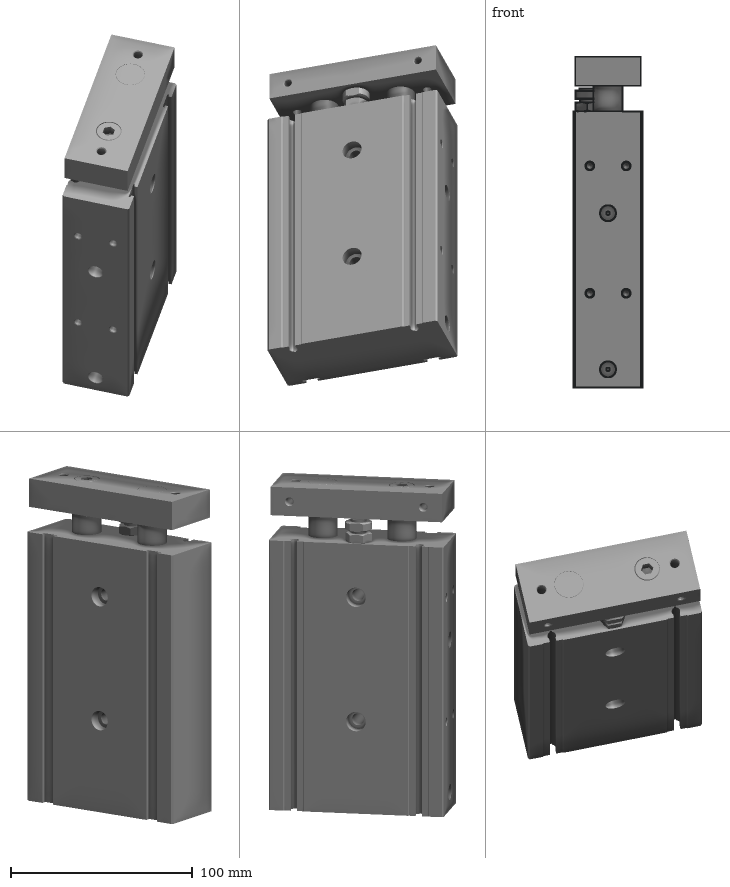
import cadquery as cq
import math


overall_z = 182.0

housing_x = 38.0
housing_y = 98.0
housing_z = 152.0
edge_chamfer = 1.0

groove_y = 35.0
recess_width = 11.6
recess_depth = 0.4
recess_ramp = 0.5
keyhole_neck = 3.6
keyhole_diameter = 4.7
keyhole_centre_depth = 3.8
relief_width = 1.3
relief_depth = 0.5
tee_slot_width = 7.0
tee_lip = 1.8
tee_width = 9.8
tee_depth = 2.7

hole_from_top = 30.0
hole_row_pitch = 70.0
mount_rows = [housing_z - hole_from_top, housing_z - hole_from_top - hole_row_pitch]
through_diameter = 6.7
counterbore_diameter = 11.0
counterbore_depth = 6.2
side_hole_x = 10.0
tap_diameter = 4.2
tap_mouth_diameter = 5.0
tap_depth = 8.2
drill_tip_angle = 118
port_diameter = 8.5
port_mouth_diameter = 9.0
port_depth = 8.2
passage_diameter = 2.0
passage_depth = 7.3
lower_port_z = 10.0
upper_port_from_top = 56.0
port_heights = [lower_port_z, housing_z - upper_port_from_top]

adjuster_x = -11.5
nut_flats = 13.0
nut_corners = nut_flats / math.cos(math.radians(30))
nut_height = 5.0
nut_bevel_height = 0.5
adjuster_gap = 1.6
thread_diameter = 8.0
head_height = 5.0
bumper_diameter = 9.0
bumper_height = 1.3

plate_x = 36.0
plate_y = 96.1
plate_z = 16.0
stroke_gap = overall_z - housing_z - plate_z
plate_bottom = housing_z + stroke_gap
plate_top = plate_bottom + plate_z
rod_diameter = 16.0
rod_y = 22.0
rod_bevel = 0.2
plate_hole_y = 37.5
plate_hole_diameter = 5.0
plate_hole_mouth = 5.8

screw_head_diameter = 14.0
screw_bevel = 0.5
socket_flats = 6.0
socket_depth = 5.5


def tip_length(diameter):
    """Length of the conical end that a drill leaves."""
    return diameter / 2 / math.tan(math.radians(drill_tip_angle / 2))


def countersunk_hole(mouth, direction, diameter, mouth_diameter, depth, tip=0):
    """Round hole with a 45 degree countersunk mouth and, if tip is given, a conical end."""
    radius = diameter / 2
    mouth_radius = mouth_diameter / 2
    profile = [
        (0, 0),
        (mouth_radius, 0),
        (radius, mouth_radius - radius),
        (radius, depth),
        (0, depth + tip),
    ]
    normal = cq.Vector(0, 0, 1) if direction[2] == 0 else cq.Vector(0, 1, 0)
    plane = cq.Plane(origin=mouth, xDir=cq.Vector(*direction).cross(normal), normal=normal)
    return cq.Workplane(plane).polyline(profile).close().revolve(360, (0, 0), (0, 1))


def tapped_hole(mouth, direction):
    """Blind hole shared by the housing side and the plate side."""
    return countersunk_hole(
        mouth, direction, tap_diameter, tap_mouth_diameter, tap_depth, tip_length(tap_diameter)
    )


def cylinder_along(origin, direction, diameter, length):
    return cq.Workplane(obj=cq.Solid.makeCylinder(diameter / 2, length, origin, direction))


def face_channel(face_x, inward, y, start, end, width):
    """Full-height channel between two depths below a long face; inward is +1 or -1 along X."""
    middle = face_x + inward * (start + end) / 2
    return cq.Workplane("XY").center(middle, y).rect(end - start, width).extrude(housing_z)


def keyhole_groove(y):
    """Shallow band with a round-bottomed keyhole groove in its middle, in the -X face."""
    face = -housing_x / 2
    floor_depth = keyhole_centre_depth + keyhole_diameter / 2
    half = recess_width / 2
    band = (
        cq.Workplane("XY")
        .polyline([
            (face, y - half),
            (face + recess_depth, y - half + recess_ramp),
            (face + recess_depth, y + half - recess_ramp),
            (face, y + half),
        ])
        .close()
        .extrude(housing_z)
    )
    neck = face_channel(face, 1, y, 0, keyhole_centre_depth, keyhole_neck)
    relief = face_channel(face, 1, y, keyhole_centre_depth, floor_depth + relief_depth, relief_width)
    bulb = (
        cq.Workplane("XY")
        .center(face + keyhole_centre_depth, y)
        .circle(keyhole_diameter / 2)
        .extrude(housing_z)
    )
    return band.union(neck).union(bulb).union(relief)


def tee_groove(y):
    """T-shaped groove in the +X face."""
    face = housing_x / 2
    mouth = face_channel(face, -1, y, 0, tee_depth, tee_slot_width)
    undercut = face_channel(face, -1, y, tee_lip, tee_depth, tee_width)
    return mouth.union(undercut)


def mounting_hole(z):
    """Hole through the housing along X, counterbored at both ends."""
    left = (-housing_x / 2, 0, z)
    right = (housing_x / 2, 0, z)
    hole = cylinder_along(left, (1, 0, 0), through_diameter, housing_x)
    hole = hole.union(cylinder_along(left, (1, 0, 0), counterbore_diameter, counterbore_depth))
    return hole.union(cylinder_along(right, (-1, 0, 0), counterbore_diameter, counterbore_depth))


def air_port(z):
    """Port in the -Y face with a narrow passage in its floor."""
    mouth = (0, -housing_y / 2, z)
    port = countersunk_hole(mouth, (0, 1, 0), port_diameter, port_mouth_diameter, port_depth)
    return port.union(cylinder_along(mouth, (0, 1, 0), passage_diameter, port_depth + passage_depth))


def bevelled_disc(bottom, height):
    """Round blank whose two rims are bevelled in to the width of the wrench flats."""
    corner = nut_corners / 2
    rim = nut_flats / 2
    profile = [
        (0, 0),
        (rim, 0),
        (corner, nut_bevel_height),
        (corner, height - nut_bevel_height),
        (rim, height),
        (0, height),
    ]
    return (
        cq.Workplane("XZ", origin=(adjuster_x, 0, bottom))
        .polyline(profile)
        .close()
        .revolve(360, (0, 0), (0, 1))
    )


def hexagon(x, y, z, flats, height):
    """Hexagonal prism with two of its flats facing -X and +X."""
    return (
        cq.Workplane("XY", origin=(x, y, z))
        .transformed(rotate=(0, 0, 30))
        .polygon(6, flats / math.cos(math.radians(30)))
        .extrude(height)
    )


def adjuster():
    """Hex lock nut, bare thread, round head with two flats, and bumper, stacked on the housing top."""
    head_bottom = housing_z + nut_height + adjuster_gap
    head_top = head_bottom + head_height
    up = (0, 0, 1)
    nut = hexagon(adjuster_x, 0, housing_z, nut_flats, nut_height)
    nut = nut.intersect(bevelled_disc(housing_z, nut_height))
    thread = cylinder_along((adjuster_x, 0, housing_z), up, thread_diameter, nut_height + adjuster_gap)
    head_block = (
        cq.Workplane("XY", origin=(adjuster_x, 0, head_bottom))
        .rect(nut_flats, nut_corners)
        .extrude(head_height)
    )
    head = head_block.intersect(bevelled_disc(head_bottom, head_height))
    bumper = cylinder_along((adjuster_x, 0, head_top), up, bumper_diameter, bumper_height)
    return nut.union(thread).union(head).union(bumper)


def make_housing():
    body = (
        cq.Workplane("XY")
        .rect(housing_x, housing_y)
        .extrude(housing_z)
        .edges("|Z")
        .chamfer(edge_chamfer)
    )
    for y in (-groove_y, groove_y):
        body = body.cut(keyhole_groove(y)).cut(tee_groove(y))
    for z in mount_rows:
        body = body.cut(mounting_hole(z))
        for x in (-side_hole_x, side_hole_x):
            body = body.cut(tapped_hole((x, -housing_y / 2, z), (0, 1, 0)))
    for z in port_heights:
        body = body.cut(air_port(z))
    return body.union(adjuster())


def rim_groove(y, diameter, bevel):
    """Fine groove left in the plate top by the bevelled rim of a round part flush with it."""
    radius = diameter / 2
    return (
        cq.Workplane("XZ", origin=(0, y, plate_top))
        .polyline([(radius - bevel, 0), (radius, 0), (radius, -bevel)])
        .close()
        .revolve(360, (0, 0), (0, 1))
    )


def make_moving_plate():
    plate = cq.Workplane("XY", origin=(0, 0, plate_bottom)).rect(plate_x, plate_y).extrude(plate_z)
    rods = (
        cq.Workplane("XY", origin=(0, 0, housing_z))
        .pushPoints([(0, -rod_y), (0, rod_y)])
        .circle(rod_diameter / 2)
        .extrude(stroke_gap)
    )
    plate = plate.union(rods)
    for y in (-plate_hole_y, plate_hole_y):
        side_hole = tapped_hole((-plate_x / 2, y, plate_bottom + plate_z / 2), (1, 0, 0))
        top_hole = countersunk_hole(
            (0, y, plate_top), (0, 0, -1), plate_hole_diameter, plate_hole_mouth, plate_z
        )
        plate = plate.cut(side_hole).cut(top_hole)
    socket = hexagon(0, -rod_y, plate_top, socket_flats, -socket_depth)
    plate = plate.cut(rim_groove(-rod_y, screw_head_diameter, screw_bevel)).cut(socket)
    return plate.cut(rim_groove(rod_y, rod_diameter, rod_bevel))


housing = make_housing()
moving_plate = make_moving_plate()
result = cq.Compound.makeCompound([*housing.solids().vals(), *moving_plate.solids().vals()])